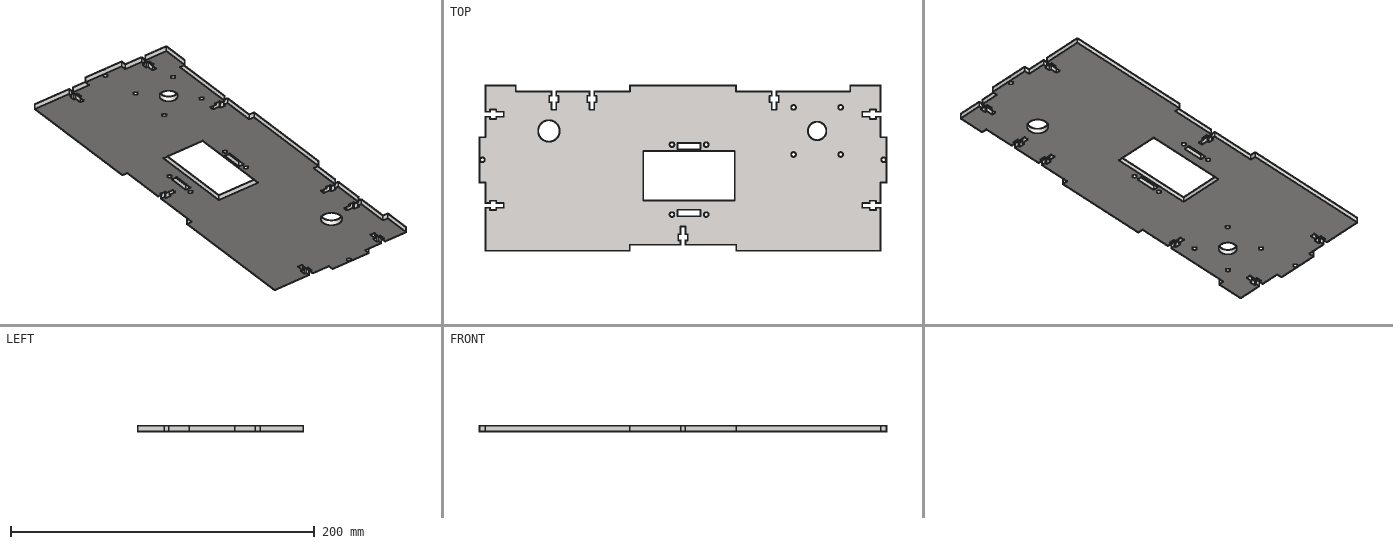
import cadquery as cq

thickness = 4.0
body_length = 260.0
body_width = 109.0
edge_step = thickness
half_length = body_length / 2
half_width = body_width / 2
recess_y = half_width - edge_step

center_tab_length = 70.0
corner_tab_length = 20.0
side_tab_width = 30.0
side_tab_y = 5.5

screw_slot_width = 3.0
screw_slot_depth = 12.0
nut_width = 6.0
nut_thickness = 4.0
nut_depth = 3.0
top_slot_xs = (-85.0, -60.0, 60.0)
bottom_slot_x = 0.0
side_slot_offset = 30.0

screw_hole_diameter = 3.0
cable_hole_diameter = 14.0
shaft_hole_diameter = 12.0
large_hole_x = 88.25
large_hole_y = 24.5
motor_hole_spacing = 31.0

window_x = 4.0
window_length = 60.0
window_width = 32.5
window_y = -5.0
clip_slot_length = 15.0
clip_slot_width = 4.0
clip_center_y = -7.5
clip_slot_spacing_y = 44.0
clip_hole_spacing_x = 22.5
clip_hole_spacing_y = 46.0


def block(length, width, x, y):
    """Full-thickness rectangular block centered at (x, y), standing on Z = 0."""
    return cq.Workplane("XY").center(x, y).rect(length, width).extrude(thickness)


def cylinders(diameter, points):
    """Full-thickness cylinders at the given points."""
    return cq.Workplane("XY").pushPoints(points).circle(diameter / 2).extrude(thickness)


def nut_slot(x, y, inward_angle):
    """Screw slot with nut pocket, opening at (x, y) and running inward at an angle from +X."""
    screw = block(screw_slot_depth, screw_slot_width, screw_slot_depth / 2, 0)
    nut = block(nut_thickness, nut_width, nut_depth + nut_thickness / 2, 0)
    slot = screw.union(nut)
    return slot.rotate((0, 0, 0), (0, 0, 1), inward_angle).translate((x, y, 0))


def make_sheet():
    """Rectangular sheet with recessed long edges and a tab on each short edge."""
    sheet = block(body_length, body_width, 0, 0)
    recess_length = half_length - corner_tab_length - center_tab_length / 2
    recess_x = (center_tab_length + recess_length) / 2
    recess_center_y = half_width - edge_step / 2
    for side in (-1, 1):
        sheet = sheet.cut(block(recess_length, edge_step, side * recess_x, recess_center_y))
    sheet = sheet.cut(block(center_tab_length, edge_step, 0, -recess_center_y))
    return sheet.union(block(body_length + 2 * edge_step, side_tab_width, 0, side_tab_y))


def cut_nut_slots(sheet):
    """Cut the nut slots along all four edges."""
    for x in top_slot_xs:
        sheet = sheet.cut(nut_slot(x, recess_y, -90))
    sheet = sheet.cut(nut_slot(bottom_slot_x, -recess_y, 90))
    for y in (side_tab_y - side_slot_offset, side_tab_y + side_slot_offset):
        sheet = sheet.cut(nut_slot(-half_length, y, 0))
        sheet = sheet.cut(nut_slot(half_length, y, 180))
    return sheet


def cut_round_holes(sheet):
    """Cut the two large holes, the motor screw holes and the side tab holes."""
    tab_hole_x = half_length + edge_step / 2
    tab_holes = [(side * tab_hole_x, side_tab_y) for side in (-1, 1)]
    motor_offset = motor_hole_spacing / 2
    motor_holes = [
        (large_hole_x + dx, large_hole_y + dy)
        for dx in (-motor_offset, motor_offset)
        for dy in (-motor_offset, motor_offset)
    ]
    sheet = sheet.cut(cylinders(cable_hole_diameter, [(-large_hole_x, large_hole_y)]))
    sheet = sheet.cut(cylinders(shaft_hole_diameter, [(large_hole_x, large_hole_y)]))
    return sheet.cut(cylinders(screw_hole_diameter, tab_holes + motor_holes))


def cut_window(sheet):
    """Cut the window with its clip slots and clip screw holes."""
    sheet = sheet.cut(block(window_length, window_width, window_x, window_y))
    for side in (-1, 1):
        slot_y = clip_center_y + side * clip_slot_spacing_y / 2
        sheet = sheet.cut(block(clip_slot_length, clip_slot_width, window_x, slot_y))
    clip_holes = [
        (window_x + x_side * clip_hole_spacing_x / 2, clip_center_y + y_side * clip_hole_spacing_y / 2)
        for x_side in (-1, 1)
        for y_side in (-1, 1)
    ]
    return sheet.cut(cylinders(screw_hole_diameter, clip_holes))


result = cut_window(cut_round_holes(cut_nut_slots(make_sheet())))